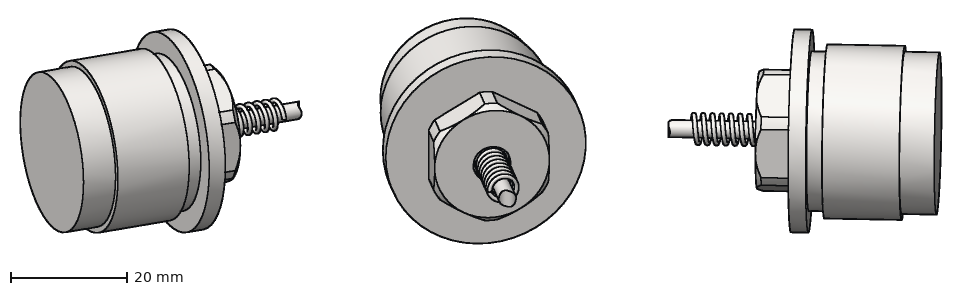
import cadquery as cq


nose_diameter = 28.0
nose_length = 6.0
barrel_diameter = 30.0
barrel_length = 13.3
neck_diameter = 27.5
neck_length = 2.7
flange_diameter = 35.0
flange_length = 3.0

hex_across_flats = 20.05
hex_corner_diameter = 22.0
hex_length = 6.0
hex_chamfer = (hex_corner_diameter - hex_across_flats) / 2

total_length = 46.4
cable_diameter = 3.0
break_wave_height = 0.7

spring_mean_diameter = 4.83
wire_diameter = 0.8
spring_turns = 8
spring_height = 12.75
spring_projection = 11.35
spring_bore_diameter = 6.5
spring_bore_depth = spring_height - spring_projection + wire_diameter / 2

flange_start = nose_length + barrel_length + neck_length
hex_start = flange_start + flange_length
hex_end = hex_start + hex_length
bore_floor = hex_end - spring_bore_depth
spring_start = hex_end + spring_projection - spring_height


def disc(diameter, start, length):
    """Cylinder on the Y axis running from start toward +Y."""
    return cq.Workplane("XZ", origin=(0, start, 0)).circle(diameter / 2).extrude(-length)


def make_hex_end():
    """Hexagon with flats facing +X and -X, rounded corners and a chamfered outer end."""
    prism = (
        cq.Workplane("XZ", origin=(0, hex_start, 0))
        .polygon(6, hex_across_flats, circumscribed=True)
        .extrude(-hex_length)
    )
    envelope = disc(hex_corner_diameter, hex_start, hex_length).faces(">Y").chamfer(hex_chamfer)
    return prism.intersect(envelope)


def make_cable():
    """Round cable whose broken end is an S-shaped wave."""
    radius = cable_diameter / 2
    wave_middle = total_length - break_wave_height / 2
    wave_bottom = total_length - break_wave_height
    side_profile = (
        cq.Workplane("XY")
        .moveTo(-radius, bore_floor)
        .lineTo(-radius, wave_middle)
        .threePointArc((-radius / 2, total_length), (0, wave_middle))
        .threePointArc((radius / 2, wave_bottom), (radius, wave_middle))
        .lineTo(radius, bore_floor)
        .close()
        .extrude(radius, both=True)
    )
    return disc(cable_diameter, bore_floor, total_length - bore_floor).intersect(side_profile)


def make_housing():
    """Stepped housing with its hexagonal end, spring bore and cable."""
    body = disc(nose_diameter, 0, nose_length)
    body = body.union(disc(barrel_diameter, nose_length, barrel_length))
    body = body.union(disc(neck_diameter, nose_length + barrel_length, neck_length))
    body = body.union(disc(flange_diameter, flange_start, flange_length))
    body = body.union(make_hex_end())
    body = body.cut(disc(spring_bore_diameter, bore_floor, spring_bore_depth))
    return body.union(make_cable())


def make_spring():
    """Right-handed coil of round wire, wound about Z and then turned onto the Y axis."""
    mean_radius = spring_mean_diameter / 2
    helix = cq.Wire.makeHelix(spring_height / spring_turns, spring_height, mean_radius)
    coil = (
        cq.Workplane("XZ", origin=(mean_radius, 0, 0))
        .circle(wire_diameter / 2)
        .sweep(cq.Workplane(helix), isFrenet=True)
    )
    return coil.rotate((0, 0, 0), (1, 0, 0), -90).translate((0, spring_start, 0))


housing = make_housing()
spring = make_spring()

result = cq.Compound.makeCompound([housing.val(), spring.val()])